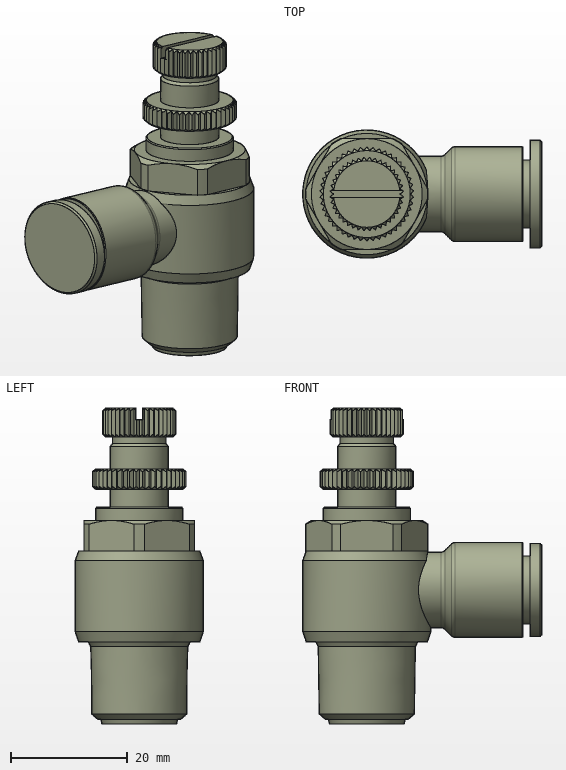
import cadquery as cq
import math


total_height = 54.2
body_bottom_z = 14.1
body_top_z = 29.7
hex_top_z = 34.92
collar_top_z = 37.2
lock_nut_bottom_z = 40.25
lock_nut_top_z = 43.75
stem_shoulder_z = 48.1
knob_bottom_z = 49.2

spigot_radius = 6.6
spigot_tip_radius = 6.4
spigot_height = 0.8
thread_chamfer_radius = 7.1
thread_bottom_z = 1.75
thread_bottom_radius = 8.17
thread_top_z = 13.3
thread_top_radius = 8.35
neck_radius = 8.75

body_radius = 11.0
body_end_radius = 10.4
body_top_chamfer = 1.65
body_bottom_chamfer = 1.75

hex_across_flats = 19.0
hex_corner_radius = 10.5
hex_chamfer_radius = hex_across_flats / 2
hex_chamfer_height = 0.65

collar_radius = 7.5
collar_chamfer = 0.2
stem_radius = 5.0
stem_neck_radius = 4.6
stem_chamfer_height = 0.5

lock_nut_radius = 8.05
lock_nut_root_radius = 7.5
lock_nut_face_radius = 7.45
lock_nut_teeth = 46
knob_radius = 6.3
knob_root_radius = 5.75
knob_face_radius = 5.7
knob_teeth = 40
knurl_chamfer_height = 0.5
slot_width = 1.2
slot_depth = 2.0

branch_z = 23.0
branch_neck_radius = 6.5
branch_radius = 8.15
branch_cone_angle = math.radians(45)
branch_blend_radius = 0.95
branch_neck_end_x = 12.72
branch_blend_length = branch_blend_radius * math.sin(branch_cone_angle)
branch_blend_rise = branch_blend_radius * (1 - math.cos(branch_cone_angle))
branch_cone_rise = branch_radius - branch_neck_radius - 2 * branch_blend_rise
branch_cone_start_x = branch_neck_end_x + branch_blend_length
branch_cone_start_radius = branch_neck_radius + branch_blend_rise
branch_cone_end_x = branch_cone_start_x + branch_cone_rise / math.tan(branch_cone_angle)
branch_cone_end_radius = branch_radius - branch_blend_rise
branch_socket_x = branch_cone_end_x + branch_blend_length
branch_end_x = 26.8
branch_end_chamfer = 0.15
sleeve_radius = 5.85
flange_start_x = 28.0
flange_end_x = 30.0
flange_width = 18.5
flange_height = 16.0
flange_chamfer = 0.3


def revolve_about_z(profile):
    """Revolve (radius, z) points, closed along the axis, about Z."""
    points = [(0, profile[0][1])] + profile + [(0, profile[-1][1])]
    return cq.Workplane("XZ").polyline(points).close().revolve(360, (0, 0), (0, 1))


def make_body():
    return revolve_about_z([
        (spigot_tip_radius, 0),
        (spigot_radius, spigot_height),
        (thread_chamfer_radius, spigot_height),
        (thread_bottom_radius, thread_bottom_z),
        (thread_top_radius, thread_top_z),
        (neck_radius, body_bottom_z),
        (body_end_radius, body_bottom_z),
        (body_radius, body_bottom_z + body_bottom_chamfer),
        (body_radius, body_top_z - body_top_chamfer),
        (body_end_radius, body_top_z),
    ])


def make_hexagon():
    """Hexagon with corners on X, turned down at the corners and chamfered on top."""
    corner_diameter = hex_across_flats / math.cos(math.pi / 6)
    prism = (
        cq.Workplane("XY", origin=(0, 0, body_top_z))
        .polygon(6, corner_diameter)
        .extrude(hex_top_z - body_top_z)
    )
    envelope = revolve_about_z([
        (hex_corner_radius, body_top_z),
        (hex_corner_radius, hex_top_z - hex_chamfer_height),
        (hex_chamfer_radius, hex_top_z),
    ])
    return prism.intersect(envelope)


def make_stem():
    return revolve_about_z([
        (collar_radius, hex_top_z),
        (collar_radius, collar_top_z - collar_chamfer),
        (collar_radius - collar_chamfer, collar_top_z),
        (stem_radius, collar_top_z),
        (stem_radius, stem_shoulder_z - stem_chamfer_height),
        (stem_neck_radius, stem_shoulder_z),
        (stem_neck_radius, knob_bottom_z),
    ])


def make_knurled_disc(bottom_z, top_z, tip_radius, root_radius, face_radius, teeth, first_tip_angle):
    """Disc with V teeth around its rim, chamfered at both ends down to plain round faces."""
    half_pitch = math.pi / teeth
    points = []
    for step in range(2 * teeth):
        radius = tip_radius if step % 2 == 0 else root_radius
        angle = first_tip_angle + step * half_pitch
        points.append((radius * math.cos(angle), radius * math.sin(angle)))
    toothed = (
        cq.Workplane("XY", origin=(0, 0, bottom_z))
        .polyline(points)
        .close()
        .extrude(top_z - bottom_z)
    )
    envelope = revolve_about_z([
        (face_radius, bottom_z),
        (tip_radius, bottom_z + knurl_chamfer_height),
        (tip_radius, top_z - knurl_chamfer_height),
        (face_radius, top_z),
    ])
    return toothed.intersect(envelope)


def make_lock_nut():
    return make_knurled_disc(
        lock_nut_bottom_z,
        lock_nut_top_z,
        lock_nut_radius,
        lock_nut_root_radius,
        lock_nut_face_radius,
        lock_nut_teeth,
        math.pi / 2,
    )


def make_knob():
    """Knurled knob with a screwdriver slot along X across its top."""
    knob = make_knurled_disc(
        knob_bottom_z,
        total_height,
        knob_radius,
        knob_root_radius,
        knob_face_radius,
        knob_teeth,
        math.pi / knob_teeth,
    )
    slot = (
        cq.Workplane("XY", origin=(0, 0, total_height - slot_depth))
        .rect(2 * knob_radius, slot_width)
        .extrude(slot_depth)
    )
    return knob.cut(slot)


def make_branch():
    """Socket and sleeve revolved about the branch axis, with the cone rounded at both ends."""
    profile = (
        cq.Workplane("XZ", origin=(0, 0, branch_z))
        .lineTo(0, branch_neck_radius)
        .lineTo(branch_neck_end_x, branch_neck_radius)
        .tangentArcPoint((branch_cone_start_x, branch_cone_start_radius), relative=False)
        .lineTo(branch_cone_end_x, branch_cone_end_radius)
        .tangentArcPoint((branch_socket_x, branch_radius), relative=False)
        .lineTo(branch_end_x - branch_end_chamfer, branch_radius)
        .lineTo(branch_end_x, branch_radius - branch_end_chamfer)
        .lineTo(branch_end_x, sleeve_radius)
        .lineTo(flange_start_x, sleeve_radius)
        .lineTo(flange_start_x, 0)
        .close()
    )
    return profile.revolve(360, (0, 0), (1, 0))


def make_flange():
    """Oval release flange, wider along Y than it is tall."""
    return (
        cq.Workplane("YZ", origin=(flange_start_x, 0, branch_z))
        .ellipse(flange_width / 2, flange_height / 2)
        .extrude(flange_end_x - flange_start_x)
        .faces(">X")
        .chamfer(flange_chamfer)
    )


result = make_body()
for feature in (make_hexagon(), make_stem(), make_lock_nut(), make_knob(), make_branch(), make_flange()):
    result = result.union(feature)